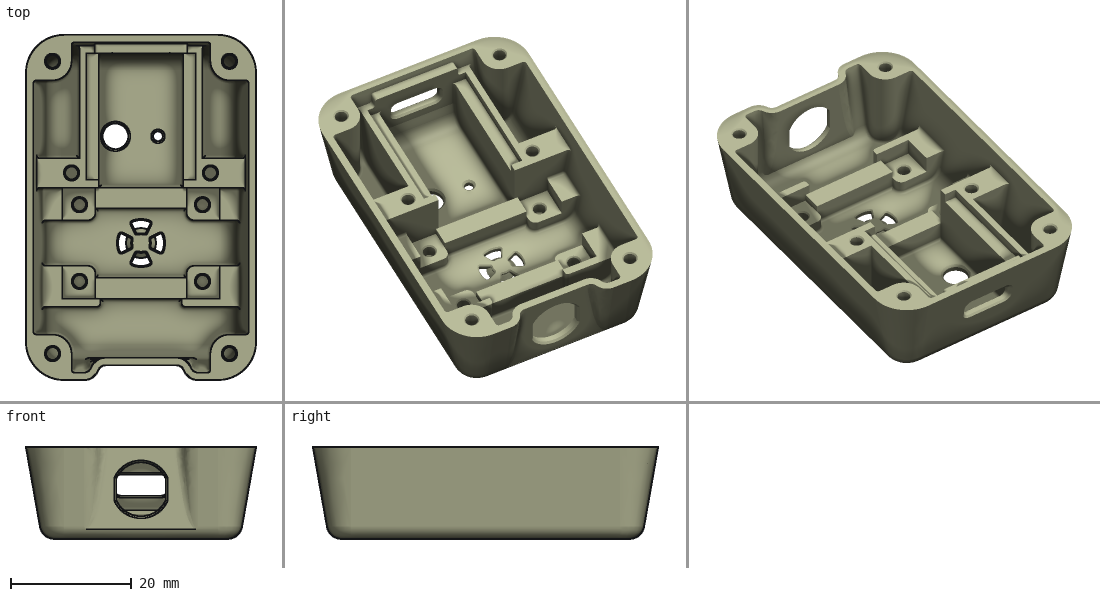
import cadquery as cq
import math

LENGTH = 57.15
WIDTH = 38.1
HEIGHT = 15.25
DRAFT = 10.0
CORNER_RADIUS = 6.35
EDGE_RADIUS = 2.5
WALL = 1.25
FLOOR = 1.15
BLEND = 0.5

PAD_HOLE_X = 14.65
PAD_HOLE_Y = 24.2
PAD_RADIUS = 3.15

SCREW_DIAMETER = 2.1
SCREW_CHAMFER = 0.25

BACK_PLATE_Y = 25.55
BACK_PLATE_TOP = 14.0
BACK_PLATE_HALF = 7.65
RAIL_INNER = 7.05
RAIL_STEP = 9.1
RAIL_OUTER = 10.2
RAIL_TOP = 12.1
BOARD_SEAT = 10.4
BOARD_END_Y = 4.6

BRIDGE_FRONT_Y = 3.25
BRIDGE_BACK_Y = 8.1
BRIDGE_HOLE_X = 11.5
BRIDGE_HOLE_Y = 5.7

VENT_Y = -5.9
BOSS_HOLE_X = 10.2
BOSS_HOLE_OFFSET = 6.35
BOSS_INNER_X = 7.55
BOSS_OUTER_X = 13.05
BOSS_EDGE_OFFSET = 3.8
BOSS_FRONT_Y = -15.1
BOSS_TOP = 3.5
BOSS_CORNER = 1.25
BAR_EDGE_OFFSET = 5.8
BAR_TOP = 4.75
LEDGE_TOP = 6.5
STRIP_INNER_X = 6.75
STRIP_DEPTH = 1.3

NOTCH_EDGE_X = 9.45
NOTCH_DEPTH = 2.45
NOTCH_LEAST_DEPTH = 0.05
NOTCH_CONVEX_RADIUS = 2.5
NOTCH_CONCAVE_RADIUS = 1.3
NOTCH_SECTIONS = 5

PORT_RADIUS = 4.45
PORT_WIDTH = 8.1
PORT_Z = 8.25
SLOT_WIDTH = 9.05
SLOT_HEIGHT = 3.45
SLOT_Z = 8.9
SLOT_CORNER = 1.15
OPENING_CHAMFER = 0.35
FLOOR_HOLE_Y = 11.8
FLOOR_HOLES = ((-4.25, 4.25), (2.8, 1.6))
VENT_COUNT = 4
VENT_INNER = 1.65
VENT_OUTER = 3.8
VENT_CORNER = 0.3
VENT_CHAMFER = 0.25
VENT_HUB_BOTTOM = 2.7
VENT_HALF_ANGLE = 26.0

MARGIN = 0.6
TOLERANCE = 0.005
DRAFT_SLOPE = math.tan(math.radians(DRAFT))
FRONT_Y = -LENGTH / 2
BACK_Y = LENGTH / 2
SIDE_X = WIDTH / 2
NOTCH_Y = FRONT_Y + NOTCH_DEPTH


def block(x0, x1, y0, y1, z0, z1):
    return cq.Workplane("XY").box(x1 - x0, y1 - y0, z1 - z0, centered=False).translate((x0, y0, z0))


def both_sides(solid):
    return solid.union(solid.mirror("YZ"))


def near(value, target):
    return abs(value - target) < TOLERANCE


def drafted_block(width, length, corner, depth):
    """Rounded block hanging from the rim, narrowing downward, with a rounded bottom edge."""
    rim = cq.Workplane("XY").workplane(offset=HEIGHT).sketch().rect(width, length).vertices().fillet(corner)
    return rim.finalize().extrude(-depth, taper=DRAFT).faces("<Z").edges().fillet(EDGE_RADIUS)


def notch_section(z, inset):
    """Outline of the front recess at height z, offset into the box by inset."""
    face_y = FRONT_Y + (HEIGHT - z) * DRAFT_SLOPE + inset
    flat_y = NOTCH_Y + inset
    convex_radius = NOTCH_CONVEX_RADIUS - inset
    concave_radius = NOTCH_CONCAVE_RADIUS + inset
    turn = math.acos(1 - (flat_y - face_y) / (convex_radius + concave_radius))
    flat_x = NOTCH_EDGE_X - (convex_radius + concave_radius) * math.sin(turn)

    def convex(angle):
        x = NOTCH_EDGE_X - convex_radius * math.sin(angle)
        return (x, face_y + convex_radius * (1 - math.cos(angle)))

    def concave(angle):
        x = flat_x + concave_radius * math.sin(angle)
        return (x, flat_y - concave_radius * (1 - math.cos(angle)))

    def flip(point):
        return (-point[0], point[1])

    outside_y = FRONT_Y - MARGIN
    start, swell, joint = convex(0), convex(turn / 2), convex(turn)
    bend, end = concave(turn / 2), concave(0)
    outline = cq.Workplane("XY").workplane(offset=z).moveTo(NOTCH_EDGE_X, outside_y).lineTo(*start)
    outline = outline.threePointArc(swell, joint).threePointArc(bend, end).lineTo(*flip(end))
    outline = outline.threePointArc(flip(bend), flip(joint)).threePointArc(flip(swell), flip(start))
    return outline.lineTo(-NOTCH_EDGE_X, outside_y).close().val()


def notch(inset):
    """The recess fades out downward, where the leaning wall meets its upright flat."""
    bottom = HEIGHT - (NOTCH_DEPTH - NOTCH_LEAST_DEPTH) / DRAFT_SLOPE
    steps = NOTCH_SECTIONS - 1
    heights = [bottom + (HEIGHT - bottom) * (i / steps) ** 1.5 for i in range(NOTCH_SECTIONS)]
    return cq.Workplane(obj=cq.Solid.makeLoft([notch_section(z, inset) for z in heights]))


shell = drafted_block(WIDTH, LENGTH, CORNER_RADIUS, HEIGHT)
cavity = drafted_block(WIDTH - 2 * WALL, LENGTH - 2 * WALL, CORNER_RADIUS - WALL, HEIGHT - FLOOR)


def corner_pads():
    inner_x = PAD_HOLE_X - PAD_RADIUS
    inner_y = PAD_HOLE_Y - PAD_RADIUS
    pad = block(inner_x, SIDE_X, inner_y, BACK_Y, 0, HEIGHT + MARGIN)
    pads = both_sides(pad.edges("|Z and <X and <Y").fillet(PAD_RADIUS))
    return pads.union(pads.mirror("XZ"))


def rails_and_bridges():
    rail = block(RAIL_INNER, RAIL_OUTER, BRIDGE_FRONT_Y, BACK_Y, 0, RAIL_TOP)
    bridge = block(RAIL_INNER, SIDE_X, BRIDGE_FRONT_Y, BRIDGE_BACK_Y, 0, RAIL_TOP)
    board = block(0, RAIL_STEP, BOARD_END_Y, BACK_PLATE_Y, BOARD_SEAT, HEIGHT)
    return both_sides(rail.union(bridge).cut(board))


def back_plate():
    base = block(-RAIL_OUTER, RAIL_OUTER, BACK_PLATE_Y, BACK_Y, 0, RAIL_TOP)
    raised = block(-BACK_PLATE_HALF, BACK_PLATE_HALF, BACK_PLATE_Y, BACK_Y, 0, BACK_PLATE_TOP)
    return base.union(raised.edges("|Y and >Z").fillet(BLEND))


def boss_row(side, far_y):
    """Two bosses, the bar joining them and their outer ledges; side is +1 behind the vents, -1 in front."""
    row_start, row_end = sorted((VENT_Y + side * BOSS_EDGE_OFFSET, far_y))
    bar_start, bar_end = sorted((VENT_Y + side * BAR_EDGE_OFFSET, far_y))
    vent_side = "<Y" if side > 0 else ">Y"
    boss = block(BOSS_INNER_X, SIDE_X, row_start, row_end, 0, BOSS_TOP)
    boss = boss.edges(f"|Z and <X and {vent_side}").fillet(BOSS_CORNER)
    ledge = block(BOSS_OUTER_X, SIDE_X, row_start, row_end, 0, LEDGE_TOP)
    bar = block(-BOSS_INNER_X, BOSS_INNER_X, bar_start, bar_end, 0, BAR_TOP)
    return both_sides(boss.union(ledge)).union(bar)


def front_strips():
    strip = block(STRIP_INNER_X, SIDE_X, BOSS_FRONT_Y - STRIP_DEPTH, BOSS_FRONT_Y, 0, LEDGE_TOP)
    return both_sides(strip.edges("|Z and <X and <Y").fillet(BLEND))


features = corner_pads().union(rails_and_bridges()).union(back_plate()).union(front_strips())
features = features.union(boss_row(1, BRIDGE_FRONT_Y)).union(boss_row(-1, BOSS_FRONT_Y))

cavity_surface = cavity.val().Shells()[0]
cavity_edges = cavity.val().Edges()


def needs_blend(edge):
    middle = edge.positionAt(0.5)
    across = abs(middle.x)
    beside_plate = near(across, BACK_PLATE_HALF) and near(middle.z, RAIL_TOP)
    behind_ledge = across > BOSS_OUTER_X and near(middle.y, BRIDGE_FRONT_Y) and near(middle.z, LEDGE_TOP)
    rail_to_plate = near(across, RAIL_INNER) and near(middle.y, BACK_PLATE_Y)
    if beside_plate or behind_ledge or rail_to_plate:
        return True
    plate_foot = near(across, 0) and near(middle.y, BACK_PLATE_Y)
    if plate_foot or middle.z > RAIL_TOP - TOLERANCE:
        return False
    point = cq.Vertex.makeVertex(*middle.toTuple())
    on_cavity_edge = any(point.distance(cavity_edge) < TOLERANCE for cavity_edge in cavity_edges)
    return point.distance(cavity_surface) < TOLERANCE and not on_cavity_edge


interior = cavity.cut(features)
blend_edges = [edge for edge in interior.edges().vals() if needs_blend(edge)]
interior = interior.newObject(blend_edges).fillet(BLEND)

body = shell.cut(interior.cut(notch(WALL))).cut(notch(0))


def chamfered_hole(x, y, diameter, top, chamfer):
    radius = diameter / 2
    hole = cq.Workplane("XY").center(x, y).circle(radius).extrude(top)
    cone = cq.Solid.makeCone(radius, radius + chamfer, chamfer, pnt=cq.Vector(x, y, top - chamfer))
    return hole.union(cq.Workplane(obj=cone))


SCREW_HOLES = (
    (PAD_HOLE_X, PAD_HOLE_Y, HEIGHT),
    (PAD_HOLE_X, -PAD_HOLE_Y, HEIGHT),
    (BRIDGE_HOLE_X, BRIDGE_HOLE_Y, RAIL_TOP),
    (BOSS_HOLE_X, VENT_Y + BOSS_HOLE_OFFSET, BOSS_TOP),
    (BOSS_HOLE_X, VENT_Y - BOSS_HOLE_OFFSET, BOSS_TOP),
)
for hole_x, hole_y, hole_top in SCREW_HOLES:
    screw_hole = chamfered_hole(hole_x, hole_y, SCREW_DIAMETER, hole_top, SCREW_CHAMFER)
    body = body.cut(both_sides(screw_hole.intersect(cavity)))

for hole_x, diameter in FLOOR_HOLES:
    body = body.cut(chamfered_hole(hole_x, FLOOR_HOLE_Y, diameter, FLOOR, OPENING_CHAMFER))


def chamfer_in_box(solid, low, high, chamfer):
    """Chamfer the edges whose centres lie in the box from low to high."""
    low = tuple(value - TOLERANCE for value in low)
    high = tuple(value + TOLERANCE for value in high)
    return solid.edges(cq.selectors.BoxSelector(low, high)).chamfer(chamfer)


def vent(direction):
    def polar(radius, angle):
        radians = math.radians(direction + angle)
        return (radius * math.cos(radians), VENT_Y + radius * math.sin(radians))

    outline = cq.Workplane("XY").moveTo(*polar(VENT_INNER, -VENT_HALF_ANGLE))
    outline = outline.lineTo(*polar(VENT_OUTER, -VENT_HALF_ANGLE))
    outline = outline.threePointArc(polar(VENT_OUTER, 0), polar(VENT_OUTER, VENT_HALF_ANGLE))
    outline = outline.lineTo(*polar(VENT_INNER, VENT_HALF_ANGLE))
    outline = outline.threePointArc(polar(VENT_INNER, 0), polar(VENT_INNER, -VENT_HALF_ANGLE)).close()
    opening = outline.extrude(FLOOR).edges("|Z").fillet(VENT_CORNER)
    hub_height = FLOOR - 2 * VENT_CHAMFER
    hub = cq.Solid.makeCone(VENT_HUB_BOTTOM, VENT_INNER, hub_height, pnt=cq.Vector(0, VENT_Y, 0))
    return opening.cut(cq.Workplane(obj=hub))


for i in range(VENT_COUNT):
    body = body.cut(vent(i * 360 / VENT_COUNT))
for vent_face_z in (0, FLOOR):
    vents_low = (-VENT_OUTER, VENT_Y - VENT_OUTER, vent_face_z)
    vents_high = (VENT_OUTER, VENT_Y + VENT_OUTER, vent_face_z)
    body = chamfer_in_box(body, vents_low, vents_high, VENT_CHAMFER)


def chamfer_mouth(solid, width, height, z, y0, y1):
    """Chamfer the mouth of an end wall opening that lies between y0 and y1."""
    low = (-width / 2, y0, z - height / 2)
    high = (width / 2, y1, z + height / 2)
    return chamfer_in_box(solid, low, high, OPENING_CHAMFER)


port_size = 2 * PORT_RADIUS
port = cq.Workplane("XZ", origin=(0, NOTCH_Y, PORT_Z)).circle(PORT_RADIUS).extrude(-2 * WALL)
port = port.intersect(block(-PORT_WIDTH / 2, PORT_WIDTH / 2, NOTCH_Y, 0, 0, HEIGHT))
body = chamfer_mouth(body.cut(port), port_size, port_size, PORT_Z, NOTCH_Y, NOTCH_Y)

slot_bottom = SLOT_Z - SLOT_HEIGHT / 2
slot_top = slot_bottom + SLOT_HEIGHT
slot = block(-SLOT_WIDTH / 2, SLOT_WIDTH / 2, BACK_PLATE_Y - MARGIN, BACK_Y, slot_bottom, slot_top)
body = body.cut(slot.edges("|Y").fillet(SLOT_CORNER))
outer_mouth_y = BACK_Y - (HEIGHT - slot_bottom) * DRAFT_SLOPE
for mouth_start, mouth_end in ((BACK_PLATE_Y, BACK_PLATE_Y), (outer_mouth_y, BACK_Y)):
    body = chamfer_mouth(body, SLOT_WIDTH, SLOT_HEIGHT, SLOT_Z, mouth_start, mouth_end)

result = body